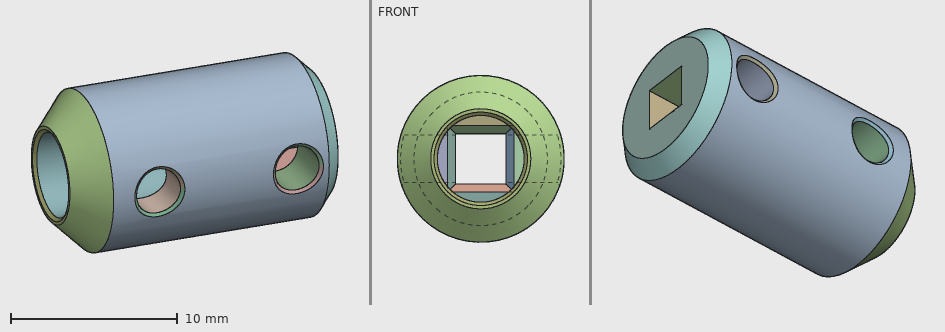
import cadquery as cq

length = 17.0
body_diameter = 10.0
front_nose_diameter = 6.0
back_chamfer = 1.0

bore_diameter = 5.2
bore_depth = 10.0
bore_mouth_chamfer = 0.2

square_width = 3.0
square_lead_in = 0.5

cross_hole_diameter = 2.85
cross_hole_chamfer = 0.2
cross_hole_front_offset = 5.0
cross_hole_back_offset = 3.0

body_radius = body_diameter / 2
bore_radius = bore_diameter / 2
front_nose_radius = front_nose_diameter / 2
front_chamfer = body_radius - front_nose_radius
front_y = -length / 2
back_y = length / 2
bore_floor_y = front_y + bore_depth
cross_hole_positions = (front_y + cross_hole_front_offset, back_y - cross_hole_back_offset)


def revolve_about_y(points):
    """Solid of revolution about the Y axis from (radius, y) points."""
    return cq.Workplane("XY").polyline(points).close().revolve(360, (0, 0), (0, 1))


def plane_facing_back(y):
    """Workplane centred on the axis at the given y, with its normal along +Y."""
    return cq.Workplane(cq.Plane(origin=(0, y, 0), xDir=(1, 0, 0), normal=(0, 1, 0)))


def make_body():
    """Cylinder with a 45 degree nose in front and a smaller 45 degree chamfer behind."""
    return revolve_about_y([
        (0, front_y),
        (front_nose_radius, front_y),
        (body_radius, front_y + front_chamfer),
        (body_radius, back_y - back_chamfer),
        (body_radius - back_chamfer, back_y),
        (0, back_y),
    ])


def add_cross_holes(body):
    """Holes through both walls along X, chamfered where they break the outer surface."""
    for y in cross_hole_positions:
        drill = (
            cq.Workplane("YZ")
            .center(y, 0)
            .circle(cross_hole_diameter / 2)
            .extrude(body_radius, both=True)
        )
        body = body.cut(drill)
    margin = cross_hole_diameter
    for y in cross_hole_positions:
        for side in (-1, 1):
            rim_zone = cq.selectors.BoxSelector(
                (side * body_radius / 2, y - margin / 2, -margin),
                (side * body_radius, y + margin / 2, margin),
            )
            body = body.edges("not %LINE").edges(rim_zone).chamfer(cross_hole_chamfer)
    return body


def make_round_socket():
    """Blind bore open at the front, widened by a small chamfer at its mouth."""
    return revolve_about_y([
        (0, front_y),
        (bore_radius + bore_mouth_chamfer, front_y),
        (bore_radius, front_y + bore_mouth_chamfer),
        (bore_radius, bore_floor_y),
        (0, bore_floor_y),
    ])


def make_square_socket():
    """Square hole from the bore floor out through the back, with a tapered lead-in."""
    lead_in_width = square_width + 2 * square_lead_in
    hole = plane_facing_back(bore_floor_y).rect(square_width, square_width).extrude(length - bore_depth)
    lead_in = (
        plane_facing_back(bore_floor_y)
        .rect(lead_in_width, lead_in_width)
        .workplane(offset=square_lead_in)
        .rect(square_width, square_width)
        .loft(ruled=True)
    )
    return hole.union(lead_in)


result = add_cross_holes(make_body()).cut(make_round_socket()).cut(make_square_socket())